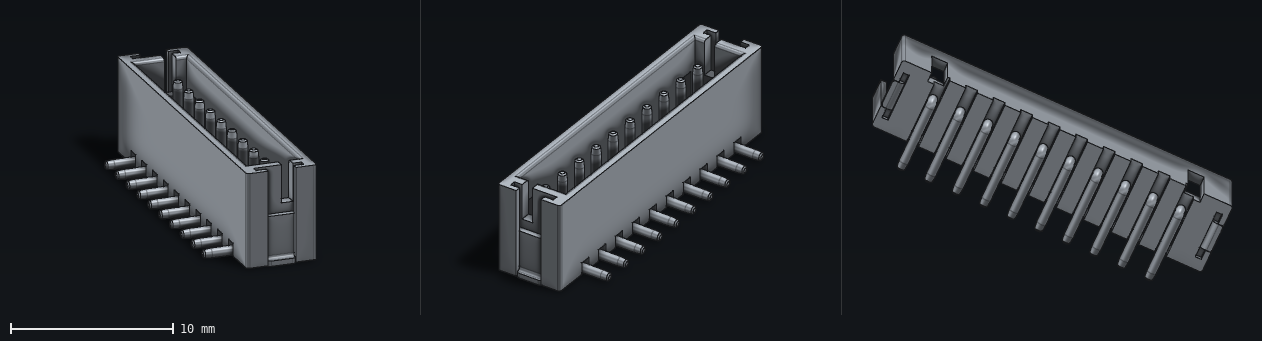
import cadquery as cq
LENGTH = 22.42
DEPTH = 4.65
TOP_Z = 6.3
STANDOFF = 0.07
CORNER_RADIUS = 0.2
HALF_LENGTH = LENGTH / 2

SIDE_WALL = 0.6
END_WALL = 1.5
RIM_RADIUS = 0.2
FLOOR_Z = 1.35

PIN_COUNT = 10
ROW_LENGTH = 16.82
PITCH = ROW_LENGTH / (PIN_COUNT - 1)
PIN_XS = [i * PITCH - ROW_LENGTH / 2 for i in range(PIN_COUNT)]
PIN_Y = 2.95
PIN_RADIUS = 0.31
PIN_TOP_Z = 5.3
PIN_REACH = 1.84
PIN_BEND_RADIUS = 0.45
TIP_LENGTH = 0.52
TIP_RADIUS = 0.27
TIP_CONE_LENGTH = 0.1
TIP_END_RADIUS = 0.15

CHANNEL_WIDTH = 0.78
CHANNEL_TOP_Z = 0.7
NOTCH_TOP_Z = 0.92

WINDOW_WIDTH = 1.08
WINDOW_OFFSET = 0.3
WINDOW_TOP_Z = 4.04

KEY_WIDTH = 0.76
KEY_BOTTOM_Z = 3.8

TAB_Y = 2.3
TAB_WIDTH = 3.1
TAB_CLEARANCE = 0.05
TAB_THICKNESS = 0.4
TAB_INSET = 0.38
TAB_TOP_Z = 3.16
FOOT_Y = 2.33
FOOT_WIDTH = 1.84
FOOT_THICKNESS = 0.35
FOOT_CORNER_RADIUS = 0.2
INNER_BEND_RADIUS = 0.22
OUTER_BEND_RADIUS = 0.45


def block(x, y, z):
    """Box given by its (low, high) limits along each axis."""
    size = [high - low for low, high in (x, y, z)]
    return cq.Workplane("XY").box(*size, centered=False).translate((x[0], y[0], z[0]))


def both_ends(shape):
    """The shape at the -X end together with its mirror image at the +X end."""
    return [shape, shape.mirror("YZ")]


def shell():
    """Open-topped box with rounded outer corners and a rounded inner rim."""
    body = block((-HALF_LENGTH, HALF_LENGTH), (0, DEPTH), (STANDOFF, TOP_Z))
    body = body.edges("|Z").fillet(CORNER_RADIUS)
    inner_x = HALF_LENGTH - END_WALL
    cavity = block((-inner_x, inner_x), (SIDE_WALL, DEPTH - SIDE_WALL), (FLOOR_Z, TOP_Z))
    rim = body.cut(cavity).faces(">Z").wires(cq.selectors.AreaNthSelector(0))
    return rim.edges().fillet(RIM_RADIUS)


def pin_channel(x):
    """Channel for one pin leg through the whole depth, with a taller notch in the front wall."""
    width = (x - CHANNEL_WIDTH / 2, x + CHANNEL_WIDTH / 2)
    channel = block(width, (0, DEPTH), (0, CHANNEL_TOP_Z))
    notch = block(width, (0, SIDE_WALL), (0, NOTCH_TOP_Z))
    return channel.union(notch)


def window():
    """Window through the back wall at the -X end, from the underside up."""
    center_x = PIN_XS[0] - WINDOW_OFFSET
    return block(
        (center_x - WINDOW_WIDTH / 2, center_x + WINDOW_WIDTH / 2),
        (DEPTH - SIDE_WALL, DEPTH),
        (0, WINDOW_TOP_Z),
    )


def key_slot():
    """Slot through the upper end wall at the -X end, in line with the pins."""
    return block(
        (-HALF_LENGTH + TAB_INSET, -HALF_LENGTH + END_WALL),
        (PIN_Y - KEY_WIDTH / 2, PIN_Y + KEY_WIDTH / 2),
        (KEY_BOTTOM_Z, TOP_Z),
    )


def tab_slot():
    """Full-height slot for the tab plate, with clearance at its back edge and open to the end
    face over the foot width."""
    plate_x = -HALF_LENGTH + TAB_INSET
    pocket = block(
        (plate_x, plate_x + TAB_THICKNESS),
        (TAB_Y - TAB_WIDTH / 2, TAB_Y + TAB_WIDTH / 2 + TAB_CLEARANCE),
        (0, TOP_Z),
    )
    opening = block(
        (-HALF_LENGTH, plate_x),
        (FOOT_Y - FOOT_WIDTH / 2, FOOT_Y + FOOT_WIDTH / 2),
        (0, TOP_Z),
    )
    return pocket.union(opening)


def pin_tip():
    """Tapered tip with a blunt cone at its end, along +Z from the origin."""
    return (
        cq.Workplane("XZ")
        .lineTo(PIN_RADIUS, 0)
        .lineTo(TIP_RADIUS, TIP_LENGTH - TIP_CONE_LENGTH)
        .lineTo(TIP_END_RADIUS, TIP_LENGTH)
        .lineTo(0, TIP_LENGTH)
        .close()
        .revolve(360, (0, 0, 0), (0, 1, 0))
    )


def pin(x):
    """Right-angle round pin: upright contact and a leg running out to the front."""
    leg_end_y = TIP_LENGTH - PIN_REACH
    upright_end_z = PIN_TOP_Z - TIP_LENGTH
    path = (
        cq.Workplane("YZ", origin=(x, 0, 0))
        .moveTo(leg_end_y, PIN_RADIUS)
        .lineTo(PIN_Y - PIN_BEND_RADIUS, PIN_RADIUS)
        .radiusArc((PIN_Y, PIN_RADIUS + PIN_BEND_RADIUS), -PIN_BEND_RADIUS)
        .lineTo(PIN_Y, upright_end_z)
    )
    start = cq.Workplane("XZ", origin=(x, leg_end_y, PIN_RADIUS))
    rod = start.circle(PIN_RADIUS).sweep(path)
    top_tip = pin_tip().translate((x, PIN_Y, upright_end_z))
    leg_tip = pin_tip().rotate((0, 0, 0), (1, 0, 0), 90).translate((x, leg_end_y, PIN_RADIUS))
    return rod.union(top_tip).union(leg_tip)


def make_housing():
    """Housing with its row of pins moulded in."""
    housing = shell()
    for cutter in (window(), key_slot(), tab_slot()):
        for end_cutter in both_ends(cutter):
            housing = housing.cut(end_cutter)
    for x in PIN_XS:
        housing = housing.cut(pin_channel(x)).union(pin(x))
    return housing


def make_tab():
    """L-shaped solder tab of the -X end: wide plate with a narrower bent foot."""
    outer_x = -HALF_LENGTH + TAB_INSET
    inner_x = outer_x + TAB_THICKNESS
    bend_top_z = FOOT_THICKNESS + INNER_BEND_RADIUS
    foot = (
        cq.Workplane("XZ", origin=(0, FOOT_Y, 0))
        .moveTo(-HALF_LENGTH, 0)
        .lineTo(inner_x - OUTER_BEND_RADIUS, 0)
        .radiusArc((inner_x, OUTER_BEND_RADIUS), -OUTER_BEND_RADIUS)
        .lineTo(inner_x, bend_top_z)
        .lineTo(outer_x, bend_top_z)
        .radiusArc((outer_x - INNER_BEND_RADIUS, FOOT_THICKNESS), INNER_BEND_RADIUS)
        .lineTo(-HALF_LENGTH, FOOT_THICKNESS)
        .close()
        .extrude(FOOT_WIDTH / 2, both=True)
        .edges("|Z and <X")
        .fillet(FOOT_CORNER_RADIUS)
    )
    plate = block(
        (outer_x, inner_x),
        (TAB_Y - TAB_WIDTH / 2, TAB_Y + TAB_WIDTH / 2),
        (bend_top_z, TAB_TOP_Z),
    )
    return plate.union(foot)


housing = make_housing()
tabs = both_ends(make_tab())
result = cq.Compound.makeCompound([housing.val(), *[tab.val() for tab in tabs]])